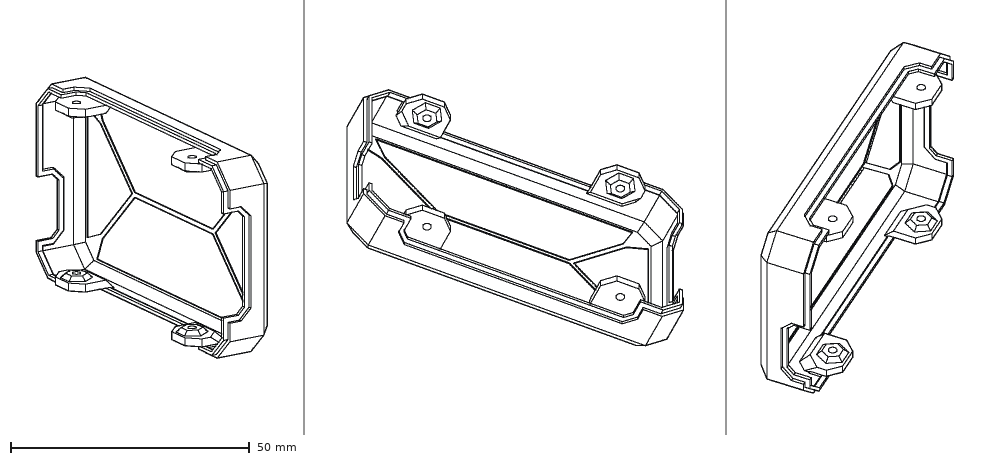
import cadquery as cq
import math

LENGTH = 73.7
HEIGHT = 43.2
CORNER = 4.95
BACK_CHAMFER = 2.5
WALL = 1.2

RIM_DEPTH = 11.0
LIP_HEIGHT = 1.1
LIP_DEPTH = RIM_DEPTH + LIP_HEIGHT
LIP_OUTSET = 0.75
LIP_INSET = 1.5
LIP_OVERHANG = LIP_INSET - WALL

NOTCH_DEPTH = 6.85
NOTCH_CHAMFER = 1.55
STEP_CHAMFER = 2.4
LONG_NOTCH = 52.85
LEFT_NOTCH = 14.15
LEFT_NOTCH_CENTRE = -6.7
RIGHT_NOTCH = 22.9

PANEL_SINK = 0.2
RIB = 1.1
PANEL_MARGIN_ENDS = 3.6
PANEL_MARGIN_SIDES = 3.55
RIB_SPLIT = 8.6

TAB_END = 14.5
TAB_WIDTH = 10.25
TAB_THICKNESS = 1.8
TAB_CHAMFER = 2.6
TAB_BACK_CHAMFER = 2.95
HOLE_X = 22.25
HOLE_DIAMETER = 1.8
PAD_WIDTH = 6.8
PAD_HEIGHT = 0.95

OFFSET_LEG_LOSS = 2 - math.sqrt(2)
TAN_22_5 = math.tan(math.radians(22.5))
HALF_LENGTH = LENGTH / 2
HALF_HEIGHT = HEIGHT / 2
STEP_DEPTH = NOTCH_DEPTH - LIP_HEIGHT


def at_depth(depth):
    """Workplane facing the open side, x along X and y along Z."""
    return cq.Workplane("XZ", origin=(0, -depth, 0))


def octagon(width, height, leg):
    """Rectangle with its four corners cut at 45 degrees."""
    x, y = width / 2, height / 2
    return [
        (-x, -y + leg), (-x + leg, -y), (x - leg, -y), (x, -y + leg),
        (x, y - leg), (x - leg, y), (-x + leg, y), (-x, y - leg),
    ]


def outline(inset):
    """Case outline moved inwards by a constant wall distance."""
    leg = CORNER - inset * OFFSET_LEG_LOSS
    return octagon(LENGTH - 2 * inset, HEIGHT - 2 * inset, leg)


def prism(inset, start, end):
    """Solid on the inset outline between two depths."""
    return at_depth(start).polyline(outline(inset)).close().extrude(end - start)


def ring(outer, inner, start, end):
    """Band between two inset outlines and two depths."""
    return prism(outer, start, end).cut(prism(inner, start, end))


def notch_outline(width, depth, chamfer):
    """Cut-out open towards the rim, as (along the wall, depth) points."""
    half = width / 2
    return [
        (-half, TAB_END), (-half, depth + chamfer), (-half + chamfer, depth),
        (half - chamfer, depth), (half, depth + chamfer), (half, TAB_END),
    ]


def wall_planes():
    """Planes on the outer faces, facing inwards with y along the depth, each with its notch width."""
    left = cq.Plane((-HALF_LENGTH, 0, LEFT_NOTCH_CENTRE), xDir=(0, 0, 1), normal=(1, 0, 0))
    right = cq.Plane((HALF_LENGTH, 0, 0), xDir=(0, 0, -1), normal=(-1, 0, 0))
    top = cq.Plane((0, 0, HALF_HEIGHT), xDir=(1, 0, 0), normal=(0, 0, -1))
    bottom = cq.Plane((0, 0, -HALF_HEIGHT), xDir=(-1, 0, 0), normal=(0, 0, 1))
    return [(left, LEFT_NOTCH), (right, RIGHT_NOTCH), (top, LONG_NOTCH), (bottom, LONG_NOTCH)]


def notch_cuts(depth, chamfer, widening, thickness):
    """One cutter per notched wall, reaching inwards from the outer face."""
    cuts = cq.Workplane()
    for plane, width in wall_planes():
        points = notch_outline(width + 2 * widening, depth, chamfer)
        cuts = cuts.add(cq.Workplane(plane).polyline(points).close().extrude(thickness))
    return cuts.combine()


def step_cuts():
    """Wider notches for the outer skin, leaving the lip to stand proud all round."""
    return notch_cuts(STEP_DEPTH, STEP_CHAMFER, LIP_HEIGHT, LIP_INSET)


def make_shell():
    """Outer skin up to the rim, hollow with walls and floor of equal thickness."""
    outside = prism(0, 0, RIM_DEPTH).faces(">Y").chamfer(BACK_CHAMFER)
    inner_chamfer = BACK_CHAMFER - WALL * OFFSET_LEG_LOSS
    hollow = prism(WALL, WALL, LIP_DEPTH).faces(">Y").chamfer(inner_chamfer)
    return outside.cut(hollow)


def make_lip():
    """Lip along the rim and round the notches, with a 45 degree underside where it overhangs the wall."""
    lip = ring(LIP_OUTSET, LIP_INSET, STEP_DEPTH - LIP_OVERHANG, LIP_DEPTH)
    underside = (
        at_depth(RIM_DEPTH - LIP_OVERHANG).polyline(outline(WALL)).close()
        .workplane(offset=LIP_OVERHANG).polyline(outline(LIP_INSET)).close().loft(ruled=True)
    )
    kept = ring(0, LIP_INSET, RIM_DEPTH - LIP_OVERHANG, LIP_DEPTH).cut(underside)
    for plane, width in wall_planes():
        step = notch_outline(width + 2 * LIP_HEIGHT, STEP_DEPTH, STEP_CHAMFER)
        band = (
            cq.Workplane(plane).workplane(offset=LIP_INSET)
            .polyline(step).close().extrude(-LIP_OVERHANG, taper=-45)
        )
        backing = cq.Workplane(plane).polyline(step).close().extrude(LIP_INSET)
        kept = kept.union(band).union(backing)
    return lip.intersect(kept)


def make_panels():
    """Sunk floor panels: two long ones and two at the ends, parted by ribs."""
    ridge_x = HALF_LENGTH - HALF_HEIGHT
    half_rib = RIB / 2
    spread = half_rib * math.sqrt(2)
    end_x = HALF_LENGTH - PANEL_MARGIN_ENDS
    side_z = HALF_HEIGHT - PANEL_MARGIN_SIDES
    split_x = HALF_LENGTH - RIB_SPLIT
    split_z = split_x - ridge_x - spread
    end_z = split_z + (end_x - split_x) * TAN_22_5
    long_split_x = split_z + ridge_x
    long_split_z = split_x - ridge_x
    long_x = long_split_x + (side_z - long_split_z) * TAN_22_5
    inner_x = ridge_x + half_rib - spread
    long_panel = [
        (-long_x, side_z), (-long_split_x, long_split_z), (-inner_x, half_rib),
        (inner_x, half_rib), (long_split_x, long_split_z), (long_x, side_z),
    ]
    end_panel = [
        (end_x, end_z), (split_x, split_z), (ridge_x + spread, 0),
        (split_x, -split_z), (end_x, -end_z),
    ]
    sketch = at_depth(WALL - PANEL_SINK)
    upper = sketch.polyline(long_panel).close().extrude(PANEL_SINK)
    right = sketch.polyline(end_panel).close().extrude(PANEL_SINK)
    return upper.add(upper.mirror("XY")).add(right).add(right.mirror("YZ")).combine()


def make_tab():
    """Screw tab at +X on the upper wall, with its pad facing inwards."""
    inner_face = HALF_HEIGHT - LIP_INSET - TAB_THICKNESS
    root = TAB_THICKNESS + LIP_OVERHANG
    outer_x = LONG_NOTCH / 2 + LIP_HEIGHT
    inner_x = outer_x - TAB_WIDTH
    shoulder = TAB_END - TAB_CHAMFER

    def plate_outline(back, leg):
        """Tab outline with its back edge at the given depth and one back corner cut by leg."""
        return [
            (inner_x, -back), (outer_x - leg, -back), (outer_x, -back - leg),
            (outer_x, -shoulder), (outer_x - TAB_CHAMFER, -TAB_END),
            (inner_x + TAB_CHAMFER, -TAB_END), (inner_x, -shoulder),
        ]

    face_outline = plate_outline(NOTCH_DEPTH, TAB_BACK_CHAMFER)
    root_outline = plate_outline(NOTCH_DEPTH - root, TAB_BACK_CHAMFER - root * TAN_22_5)
    plate = (
        cq.Workplane("XY", origin=(0, 0, inner_face)).polyline(face_outline).close()
        .workplane(offset=root).polyline(root_outline).close().loft(ruled=True)
    )
    plate = plate.cut(step_cuts())
    pad_plane = cq.Workplane("XY", origin=(HOLE_X, -RIM_DEPTH, inner_face))
    pad = pad_plane.polygon(6, PAD_WIDTH).extrude(-PAD_HEIGHT, taper=45)
    hole = pad_plane.workplane(offset=-PAD_HEIGHT).circle(HOLE_DIAMETER / 2).extrude(PAD_HEIGHT + root)
    return plate.union(pad).cut(hole)


case = make_shell()
case = case.cut(step_cuts())
case = case.union(make_lip())
case = case.cut(notch_cuts(NOTCH_DEPTH, NOTCH_CHAMFER, 0, LIP_INSET))
case = case.cut(make_panels())
right_upper_tab = make_tab()
left_upper_tab = right_upper_tab.mirror("YZ")
for tab in (right_upper_tab, left_upper_tab):
    case = case.union(tab).union(tab.mirror("XY"))

result = case